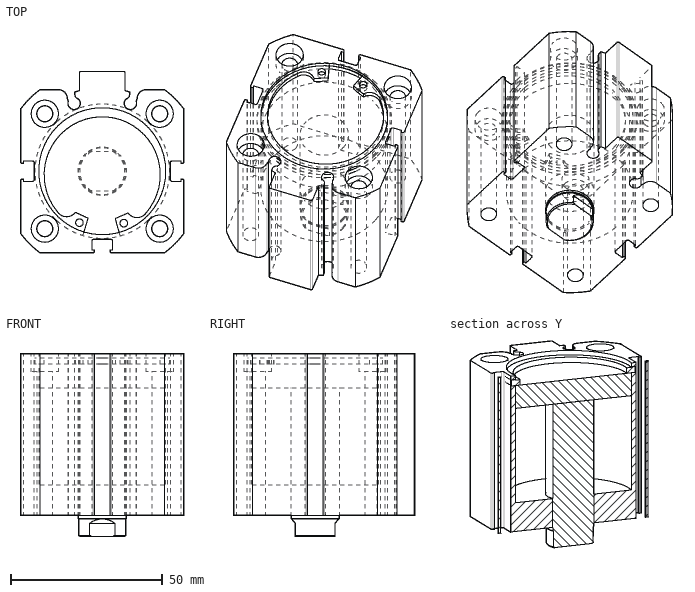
import cadquery as cq
import math

body_width = 54.0
half_width = body_width / 2
body_height = 53.5
corner_diameter = 68.0

port_half_width = 7.6
port_reach = 33.0
port_corner_radius = 0.5

hook_slot_radius = 2.0
hook_slot_x = 9.3
hook_slot_y = 22.45
shoulder_side_angle = 20.0
hook_side_angle = 135.0
hook_reach = 1.5
hook_corner_drop = 0.5
hook_top = 26.7
shoulder_radius = 3.0
shoulder_x = 14.5

slot_mouth_width = 5.2
slot_inner_width = 6.7
slot_depth = 4.5
slot_lip = 1.0
slot_floor_radius = 0.6
slot_lip_radius = 0.5

mount_spacing = 38.0
mount_hole_diameter = 5.2
mount_counterbore_diameter = 9.0
mount_counterbore_depth = 5.9

bore_diameter = 42.0
floor_thickness = 10.0
cap_thickness = 8.0
ring_depth = 1.5
ring_thickness = 1.85
groove_diameter = 44.5
ring_inner_radius = 19.2
ring_inner_offset = 1.2
ring_turn = -0.7
lug_hole_diameter = 2.5
lug_hole = (7.33, -17.1)
lug_tip = (4.5, -15.6)
lug_heel = (8.7, -13.7)
lug_relief_low = (11.9, -15.2)
lug_relief_start_x = 14.6

rod_diameter = 16.0
rod_reach = 7.0
neck_diameter = 15.6
neck_start = 1.25
neck_chamfer = 0.4
flat_width = 13.2
flat_start = 2.6
flat_shoulder_slope = 50.0

ring_top = body_height - ring_depth
cap_top = ring_top - ring_thickness
cap_bottom = cap_top - cap_thickness


def polar(center, radius, degrees):
    """Point at an angle on a circle in the XY plane."""
    angle = math.radians(degrees)
    return (center[0] + radius * math.cos(angle), center[1] + radius * math.sin(angle))


def make_hook_slot():
    """Slot beside the port block (+X side): round bottom, hook on the block, round outer shoulder."""
    slot_center = (hook_slot_x, hook_slot_y)
    shoulder_center = (shoulder_x, half_width - shoulder_radius)
    hook_start = polar(slot_center, hook_slot_radius, hook_side_angle)
    hook_end = (port_half_width, hook_top)
    hook_corner = (port_half_width + hook_reach, hook_top - hook_corner_drop)
    hook_round_center = (port_half_width, hook_start[1] + hook_reach)
    return (
        cq.Workplane("XY")
        .moveTo(port_half_width, half_width)
        .lineTo(shoulder_x, half_width)
        .threePointArc(
            polar(shoulder_center, shoulder_radius, 135),
            polar(shoulder_center, shoulder_radius, 180),
        )
        .lineTo(*polar(slot_center, hook_slot_radius, shoulder_side_angle))
        .threePointArc(polar(slot_center, hook_slot_radius, 270), hook_start)
        .threePointArc(
            polar(hook_round_center, hook_reach, 315),
            polar(hook_round_center, hook_reach, 0),
        )
        .lineTo(*hook_corner)
        .lineTo(*hook_end)
        .close()
        .extrude(body_height)
    )


def make_t_slot():
    """T-slot in the -Y face, with rounded floor corners and rounded lips."""
    mouth_half = slot_mouth_width / 2
    inner_half = slot_inner_width / 2
    lip_y = slot_lip - half_width
    floor_y = slot_depth - half_width
    channel = (
        cq.Workplane("XY")
        .moveTo(-inner_half, lip_y)
        .lineTo(inner_half, lip_y)
        .lineTo(inner_half, floor_y)
        .lineTo(-inner_half, floor_y)
        .close()
        .extrude(body_height)
        .edges("|Z and >Y")
        .fillet(slot_floor_radius)
    )
    flare = mouth_half + slot_lip_radius
    lip_round_y = slot_lip_radius - half_width
    mouth = (
        cq.Workplane("XY")
        .moveTo(-flare, -half_width)
        .lineTo(flare, -half_width)
        .threePointArc(polar((flare, lip_round_y), slot_lip_radius, 225), (mouth_half, lip_round_y))
        .lineTo(mouth_half, lip_y)
        .lineTo(-mouth_half, lip_y)
        .lineTo(-mouth_half, lip_round_y)
        .threePointArc(polar((-flare, lip_round_y), slot_lip_radius, 315), (-flare, -half_width))
        .close()
        .extrude(body_height)
    )
    return channel.union(mouth)


def make_housing():
    """Square extruded body with rounded corners, port block, slots, mounting holes and bore."""
    corner_round = cq.Workplane("XY").circle(corner_diameter / 2).extrude(body_height)
    body = cq.Workplane("XY").rect(body_width, body_width).extrude(body_height).intersect(corner_round)
    port_block = (
        cq.Workplane("XY")
        .center(0, port_reach / 2)
        .rect(2 * port_half_width, port_reach)
        .extrude(body_height)
        .edges("|Z and >Y")
        .fillet(port_corner_radius)
    )
    body = body.union(port_block)

    hook_slot = make_hook_slot()
    body = body.cut(hook_slot).cut(hook_slot.mirror("YZ"))

    t_slot = make_t_slot()
    for turn in (-90, 0, 90):
        body = body.cut(t_slot.rotate((0, 0, 0), (0, 0, 1), turn))

    body = (
        body.faces(">Z")
        .workplane(origin=(0, 0, body_height))
        .rect(mount_spacing, mount_spacing, forConstruction=True)
        .vertices()
        .cboreHole(mount_hole_diameter, mount_counterbore_diameter, mount_counterbore_depth)
    )

    bore = (
        cq.Workplane("XY")
        .workplane(offset=floor_thickness)
        .circle(bore_diameter / 2)
        .extrude(body_height - floor_thickness)
    )
    groove = cq.Workplane("XY").workplane(offset=cap_top).circle(groove_diameter / 2).extrude(ring_thickness)
    rod_hole = cq.Workplane("XY").circle(rod_diameter / 2).extrude(floor_thickness)
    return body.cut(bore).cut(groove).cut(rod_hole)


def make_end_cap():
    """Plain disc closing the bore below the retaining ring."""
    return cq.Workplane("XY").workplane(offset=cap_bottom).circle(bore_diameter / 2).extrude(cap_thickness)


def make_retaining_ring():
    """Internal circlip with an eccentric inner edge and two drilled lugs facing -Y."""
    outer_radius = groove_diameter / 2
    tip_angle = math.degrees(math.atan2(lug_tip[1], lug_tip[0]))
    relief_drop = math.sqrt(ring_inner_radius**2 - lug_relief_start_x**2)
    relief_start = (lug_relief_start_x, -ring_inner_offset - relief_drop)

    def left(point):
        return (-point[0], point[1])

    outer_end = polar((0, 0), outer_radius, tip_angle)
    ring = (
        cq.Workplane("XY")
        .workplane(offset=cap_top)
        .moveTo(*outer_end)
        .threePointArc((0, outer_radius), left(outer_end))
        .lineTo(*left(lug_tip))
        .lineTo(*left(lug_heel))
        .threePointArc(left(lug_relief_low), left(relief_start))
        .threePointArc((0, ring_inner_radius - ring_inner_offset), relief_start)
        .threePointArc(lug_relief_low, lug_heel)
        .lineTo(*lug_tip)
        .close()
        .extrude(ring_thickness)
    )
    lug_holes = (
        cq.Workplane("XY")
        .workplane(offset=cap_top)
        .pushPoints([lug_hole, left(lug_hole)])
        .circle(lug_hole_diameter / 2)
        .extrude(ring_thickness)
    )
    return ring.cut(lug_holes).rotate((0, 0, 0), (0, 0, 1), ring_turn)


def make_rod():
    """Round rod from the end cap out through the floor, ending in a neck with two wrench flats."""
    shank = (
        cq.Workplane("XY")
        .workplane(offset=-neck_start)
        .circle(rod_diameter / 2)
        .extrude(neck_start + cap_bottom)
        .faces("<Z")
        .chamfer((rod_diameter - neck_diameter) / 2)
    )
    neck = (
        cq.Workplane("XY")
        .workplane(offset=-rod_reach)
        .circle(neck_diameter / 2)
        .extrude(rod_reach - neck_start)
        .faces("<Z")
        .chamfer(neck_chamfer)
    )
    rod = shank.union(neck)

    flat_y = flat_width / 2
    clear_y = rod_diameter
    shoulder_run = (flat_start - neck_start) / math.tan(math.radians(flat_shoulder_slope))
    flat_cut = (
        cq.Workplane("YZ")
        .moveTo(flat_y, -rod_reach)
        .lineTo(flat_y, -flat_start)
        .lineTo(flat_y + shoulder_run, -neck_start)
        .lineTo(clear_y, -neck_start)
        .lineTo(clear_y, -rod_reach)
        .close()
        .extrude(rod_diameter / 2, both=True)
    )
    return rod.cut(flat_cut).cut(flat_cut.mirror("XZ"))


housing = make_housing()
end_cap = make_end_cap()
retaining_ring = make_retaining_ring()
rod = make_rod()

result = cq.Compound.makeCompound([housing.val(), end_cap.val(), retaining_ring.val(), rod.val()])